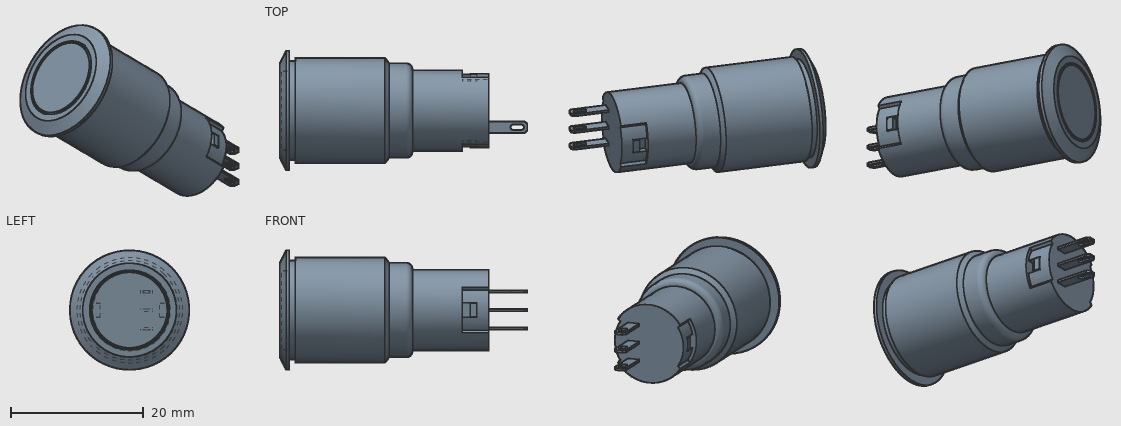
import cadquery as cq
import math

PIN_TIP_X = 37.3
BASE_END_X = 31.48

FLANGE_DIA = 18.0
FACE_DIA = 14.1
GROOVE_DIA = 15.0
BARREL_DIA = 15.9
NECK_DIA = 14.3
FLANGE_CHAMFER_END_X = 0.97
FLANGE_END_X = 1.5
GROOVE_END_X = 2.4
BARREL_END_X = 15.85
NECK_START_X = 16.5
HOUSING_END_X = 20.03
NECK_FILLET = 1.0

RECESS_DIA = 12.0
BUTTON_DIA = 11.8
BUTTON_DEPTH = 1.5
BUTTON_CHAMFER = 0.22

BASE_DIA = 12.2
NOTCH_FLOOR_DIA = 11.15
NOTCH_START_X = 27.53
NOTCH_RIM_HALF_WIDTH = 3.45
NOTCH_WALL_ANGLE = 51.0

WINDOW_LENGTH = 2.15
WINDOW_WIDTH = 2.15
WINDOW_DEPTH = 1.12
LATCH_LENGTH = 1.0
LATCH_WIDTH = 1.98

PIN_WIDTH = 1.8
PIN_THICKNESS = 0.37
PIN_Y = -2.5
PIN_PITCH = 2.8
PIN_COUNT = 3
PIN_TIP_CHAMFER_LENGTH = 0.45
PIN_TIP_WIDTH = 1.05
EYE_LENGTH = 1.98
EYE_WIDTH = 0.8
EYE_CENTER_X = 35.77


def cylinder_x(diameter, start_x, end_x):
    """Solid cylinder on the X axis between two stations."""
    return (
        cq.Workplane("YZ", origin=(start_x, 0, 0))
        .circle(diameter / 2)
        .extrude(end_x - start_x)
    )


def box_x(start_x, end_x, start_y, end_y, width_z):
    """Box between X and Y limits, centred on Z = 0."""
    return (
        cq.Workplane("XY", origin=(0, 0, -width_z / 2))
        .moveTo(start_x, start_y)
        .lineTo(end_x, start_y)
        .lineTo(end_x, end_y)
        .lineTo(start_x, end_y)
        .close()
        .extrude(width_z)
    )


def make_housing():
    """Turned shell: flange, groove, barrel and rounded neck, with a recess for the button."""
    neck_radius = NECK_DIA / 2
    arc_shift = NECK_FILLET * math.sqrt(0.5)
    fillet_center_x = HOUSING_END_X - NECK_FILLET
    fillet_center_r = neck_radius - NECK_FILLET
    profile = (
        cq.Workplane("XY")
        .moveTo(0, 0)
        .lineTo(0, FACE_DIA / 2)
        .lineTo(FLANGE_CHAMFER_END_X, FLANGE_DIA / 2)
        .lineTo(FLANGE_END_X, FLANGE_DIA / 2)
        .lineTo(FLANGE_END_X, GROOVE_DIA / 2)
        .lineTo(GROOVE_END_X, GROOVE_DIA / 2)
        .lineTo(GROOVE_END_X, BARREL_DIA / 2)
        .lineTo(BARREL_END_X, BARREL_DIA / 2)
        .lineTo(NECK_START_X, neck_radius)
        .lineTo(fillet_center_x, neck_radius)
        .threePointArc(
            (fillet_center_x + arc_shift, fillet_center_r + arc_shift),
            (HOUSING_END_X, fillet_center_r),
        )
        .lineTo(HOUSING_END_X, 0)
        .close()
    )
    shell = profile.revolve(360, (0, 0, 0), (1, 0, 0))
    return shell.cut(cylinder_x(RECESS_DIA, 0, BUTTON_DEPTH))


def make_button():
    """Flush disc with a chamfered front rim."""
    return cylinder_x(BUTTON_DIA, 0, BUTTON_DEPTH).faces("<X").chamfer(BUTTON_CHAMFER)


def notch_cutter():
    """Wedge with flared walls on the -Y side, cut from the notch floor outwards."""
    outer_y = -BASE_DIA
    wall_slope = math.tan(math.radians(NOTCH_WALL_ANGLE))
    rim_y = -math.sqrt((BASE_DIA / 2) ** 2 - NOTCH_RIM_HALF_WIDTH**2)
    apex_y = rim_y + NOTCH_RIM_HALF_WIDTH / wall_slope
    outer_half_width = (apex_y - outer_y) * wall_slope
    wedge = (
        cq.Workplane("YZ", origin=(NOTCH_START_X, 0, 0))
        .moveTo(apex_y, 0)
        .lineTo(outer_y, outer_half_width)
        .lineTo(outer_y, -outer_half_width)
        .close()
        .extrude(BASE_END_X - NOTCH_START_X)
    )
    return wedge.cut(cylinder_x(NOTCH_FLOOR_DIA, NOTCH_START_X, BASE_END_X))


def make_base():
    """Cylindrical base with a notch, window and latch block on both Y sides."""
    base = cylinder_x(BASE_DIA, HOUSING_END_X, BASE_END_X)
    floor_y = -NOTCH_FLOOR_DIA / 2
    window_end_x = NOTCH_START_X + WINDOW_LENGTH
    window_bottom_y = floor_y + WINDOW_DEPTH
    notch = notch_cutter()
    window = box_x(NOTCH_START_X, window_end_x, floor_y, window_bottom_y, WINDOW_WIDTH)
    latch = box_x(window_end_x - LATCH_LENGTH, window_end_x, floor_y, window_bottom_y, LATCH_WIDTH)
    for turn in (0, 180):
        for cutter in (notch, window):
            base = base.cut(cutter.rotate((0, 0, 0), (1, 0, 0), turn))
        base = base.union(latch.rotate((0, 0, 0), (1, 0, 0), turn))
    return base


def make_pin(center_z):
    """Flat terminal with a tapered tip and an oblong eye, standing on the base end face."""
    shoulder_x = PIN_TIP_X - PIN_TIP_CHAMFER_LENGTH
    blade = (
        cq.Workplane("XY", origin=(0, PIN_Y, center_z - PIN_THICKNESS / 2))
        .moveTo(BASE_END_X, -PIN_WIDTH / 2)
        .lineTo(shoulder_x, -PIN_WIDTH / 2)
        .lineTo(PIN_TIP_X, -PIN_TIP_WIDTH / 2)
        .lineTo(PIN_TIP_X, PIN_TIP_WIDTH / 2)
        .lineTo(shoulder_x, PIN_WIDTH / 2)
        .lineTo(BASE_END_X, PIN_WIDTH / 2)
        .close()
        .extrude(PIN_THICKNESS)
    )
    eye = (
        cq.Workplane("XY", origin=(EYE_CENTER_X, PIN_Y, center_z - PIN_THICKNESS / 2))
        .slot2D(EYE_LENGTH, EYE_WIDTH)
        .extrude(PIN_THICKNESS)
    )
    return blade.cut(eye)


housing = make_housing()
button = make_button()
base = make_base()
pins = [make_pin((i - (PIN_COUNT - 1) / 2) * PIN_PITCH) for i in range(PIN_COUNT)]

result = cq.Compound.makeCompound(
    [housing.val(), button.val(), base.val(), *[pin.val() for pin in pins]]
)